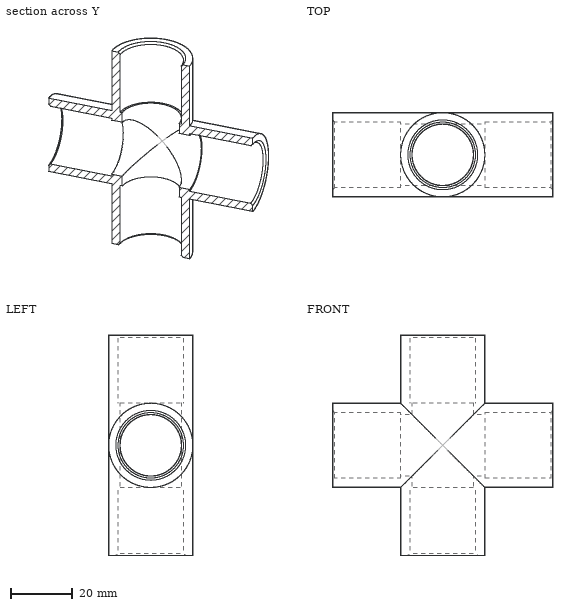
import cadquery as cq

length = 72.0
outer_diameter = 27.5
socket_diameter = 21.4
bore_diameter = 20.0
mouth_chamfer = 0.7

socket_depth = (length - outer_diameter) / 2


def run_cylinder(plane, diameter):
    """Full-length cylinder centred on the origin along the plane's normal."""
    return cq.Workplane(plane).circle(diameter / 2).extrude(length / 2, both=True)


def bore_profile():
    """Half section of the stepped bore: radius against position along the run."""
    end = length / 2
    step = end - socket_depth
    bore_radius = bore_diameter / 2
    socket_radius = socket_diameter / 2
    mouth_radius = socket_radius + mouth_chamfer
    return [
        (0, -end),
        (mouth_radius, -end),
        (socket_radius, -end + mouth_chamfer),
        (socket_radius, -step),
        (bore_radius, -step),
        (bore_radius, step),
        (socket_radius, step),
        (socket_radius, end - mouth_chamfer),
        (mouth_radius, end),
        (0, end),
    ]


body = run_cylinder("XY", outer_diameter).union(run_cylinder("YZ", outer_diameter))

vertical_bore = cq.Workplane("XZ").polyline(bore_profile()).close().revolve(360, (0, 0, 0), (0, 1, 0))
horizontal_bore = vertical_bore.rotate((0, 0, 0), (0, 1, 0), 90)

result = body.cut(vertical_bore).cut(horizontal_bore)